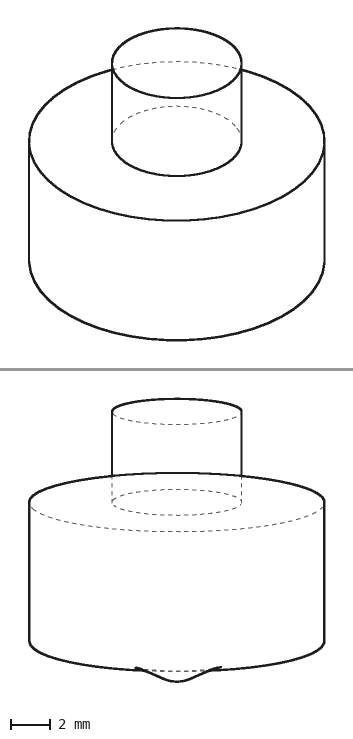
import cadquery as cq
import math

total_height = 13.76
body_radius = 7.4
pin_radius = 6.5 / 2
pin_height = 4.63
rim_round = 0.12
tip_round = 1.63
blend_radius = 6.95
blend_outer_radius = 3.4
shallow_angle = math.radians(11)
steep_angle = math.radians(26)


def arc_point(center, radius, angle):
    """Point on a circle whose downward direction is angle zero."""
    return center[0] + radius * math.sin(angle), center[1] - radius * math.cos(angle)


tip_center = (0, tip_round)
tip_end = arc_point(tip_center, tip_round, steep_angle)
tip_mid = arc_point(tip_center, tip_round, steep_angle / 2)

blend_center_x = blend_outer_radius + blend_radius * math.sin(shallow_angle)
blend_inner_x = blend_center_x - blend_radius * math.sin(steep_angle)
blend_inner_z = tip_end[1] + (blend_inner_x - tip_end[0]) * math.tan(steep_angle)
blend_center = (blend_center_x, blend_inner_z - blend_radius * math.cos(steep_angle))
mean_angle = (shallow_angle + steep_angle) / 2
blend_inner = (blend_inner_x, blend_inner_z)
blend_mid = arc_point(blend_center, -blend_radius, mean_angle)
blend_outer = arc_point(blend_center, -blend_radius, shallow_angle)

rim_center_x = body_radius - rim_round
rim_start_x = rim_center_x + rim_round * math.sin(shallow_angle)
rim_start_z = blend_outer[1] + (rim_start_x - blend_outer[0]) * math.tan(shallow_angle)
rim_center = (rim_center_x, rim_start_z + rim_round * math.cos(shallow_angle))
rim_mid = arc_point(rim_center, rim_round, (shallow_angle + math.pi / 2) / 2)

shoulder_z = total_height - pin_height

profile = (
    cq.Workplane("XZ")
    .moveTo(0, 0)
    .threePointArc(tip_mid, tip_end)
    .lineTo(*blend_inner)
    .threePointArc(blend_mid, blend_outer)
    .lineTo(rim_start_x, rim_start_z)
    .threePointArc(rim_mid, (body_radius, rim_center[1]))
    .lineTo(body_radius, shoulder_z)
    .lineTo(pin_radius, shoulder_z)
    .lineTo(pin_radius, total_height)
    .lineTo(0, total_height)
    .close()
)
result = profile.revolve(360, (0, 0, 0), (0, 1, 0))